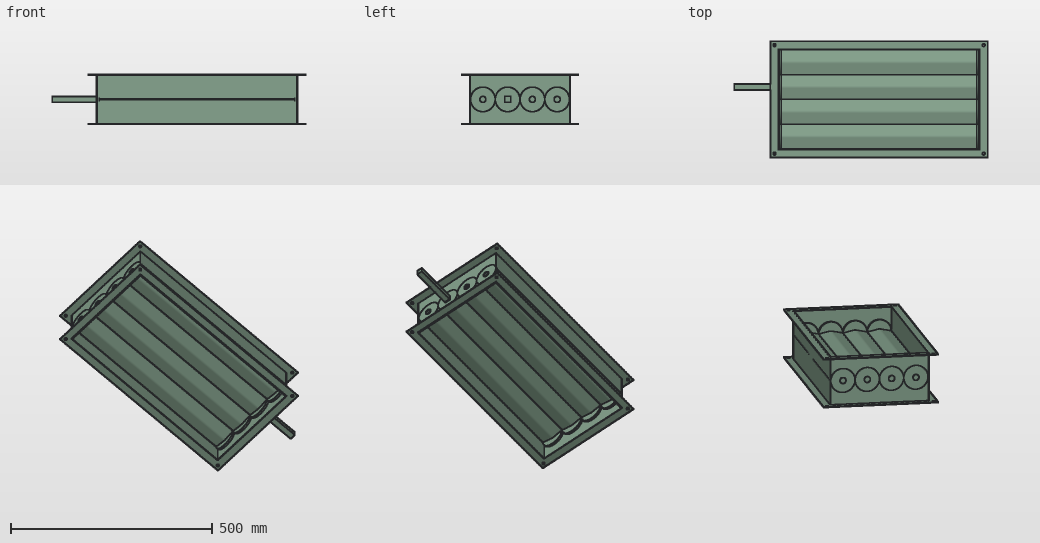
import cadquery as cq

overall_length = 630.0
flange_length = 540.0
flange_width = 290.0
frame_height = 124.0

duct_length = 500.0
duct_width = 250.0
sheet = 2.0
inner_length = duct_length - 2 * sheet
inner_width = duct_width - 2 * sheet

bolt_hole_diameter = 6.0
bolt_edge_distance = 10.0
bolt_spacing_x = flange_length - 2 * bolt_edge_distance
bolt_spacing_y = flange_width - 2 * bolt_edge_distance

blade_count = 4
drive_blade = 2
blade_pitch = inner_width / blade_count
blade_crest_height = 7.5
blade_crest_radius = 13.0
blade_tip_thickness = 2.0
disc_diameter = 61.0
disc_thickness = 5.0
journal_diameter = 15.0
drive_bar_size = 15.0

duct_end = duct_length / 2
inner_end = inner_length / 2
blade_end = inner_end - disc_thickness
drive_bar_end = flange_length / 2 - overall_length
blade_positions = [(i - (blade_count - 1) / 2) * blade_pitch for i in range(blade_count)]


def cylinder_along_x(start, length, diameter, y):
    """Cylinder on the blade axis at y, growing towards +X."""
    return cq.Workplane("YZ", origin=(start, y, 0)).circle(diameter / 2).extrude(length)


def make_drive_bar(y):
    """Square bar from its free end outside the duct to the -X end disc."""
    bar_length = -inner_end - drive_bar_end
    plane = cq.Workplane("YZ", origin=(drive_bar_end, y, 0))
    return plane.rect(drive_bar_size, drive_bar_size).extrude(bar_length)


def make_blade_wing(y):
    """Flat diamond section with blunt tips and rounded crests."""
    half_width = blade_pitch / 2
    half_tip = blade_tip_thickness / 2
    section = [
        (-half_width, -half_tip),
        (0, -blade_crest_height),
        (half_width, -half_tip),
        (half_width, half_tip),
        (0, blade_crest_height),
        (-half_width, half_tip),
    ]
    wing = (
        cq.Workplane("YZ", origin=(-blade_end, y, 0))
        .polyline(section)
        .close()
        .extrude(2 * blade_end)
    )
    crests = wing.edges("|X").edges(">Z or <Z")
    return crests.fillet(blade_crest_radius)


def make_blade(y, driven):
    """Blade with its two end discs, and a journal or the drive bar at each end."""
    blade = make_blade_wing(y)
    for disc_start in (-inner_end, blade_end):
        blade = blade.union(cylinder_along_x(disc_start, disc_thickness, disc_diameter, y))
    blade = blade.union(cylinder_along_x(inner_end, sheet, journal_diameter, y))
    if driven:
        return blade.union(make_drive_bar(y))
    return blade.union(cylinder_along_x(-duct_end, sheet, journal_diameter, y))


def make_blade_gang():
    """All the blades, joined at their tips into one body."""
    gang = cq.Workplane("XY")
    for index, y in enumerate(blade_positions):
        gang = gang.union(make_blade(y, index == drive_blade))
    return gang


def make_frame():
    """Open rectangular duct with a drilled flange around each opening."""
    frame = cq.Workplane("XY").box(duct_length, duct_width, frame_height)
    for side in (-1, 1):
        flange = cq.Workplane("XY").box(flange_length, flange_width, sheet)
        frame = frame.union(flange.translate((0, 0, side * (frame_height - sheet) / 2)))
    frame = frame.cut(cq.Workplane("XY").box(inner_length, inner_width, frame_height))

    bolt_holes = (
        cq.Workplane("XY", origin=(0, 0, -frame_height / 2))
        .rect(bolt_spacing_x, bolt_spacing_y, forConstruction=True)
        .vertices()
        .circle(bolt_hole_diameter / 2)
        .extrude(frame_height)
    )
    return frame.cut(bolt_holes)


def cut_bearing_holes(frame):
    """Openings in the end walls that fit the journals and the drive bar."""
    for index, y in enumerate(blade_positions):
        frame = frame.cut(cylinder_along_x(inner_end, sheet, journal_diameter, y))
        if index == drive_blade:
            frame = frame.cut(make_drive_bar(y))
        else:
            frame = frame.cut(cylinder_along_x(-duct_end, sheet, journal_diameter, y))
    return frame


frame = cut_bearing_holes(make_frame())
blade_gang = make_blade_gang()

result = cq.Compound.makeCompound([frame.solids().val(), blade_gang.solids().val()])